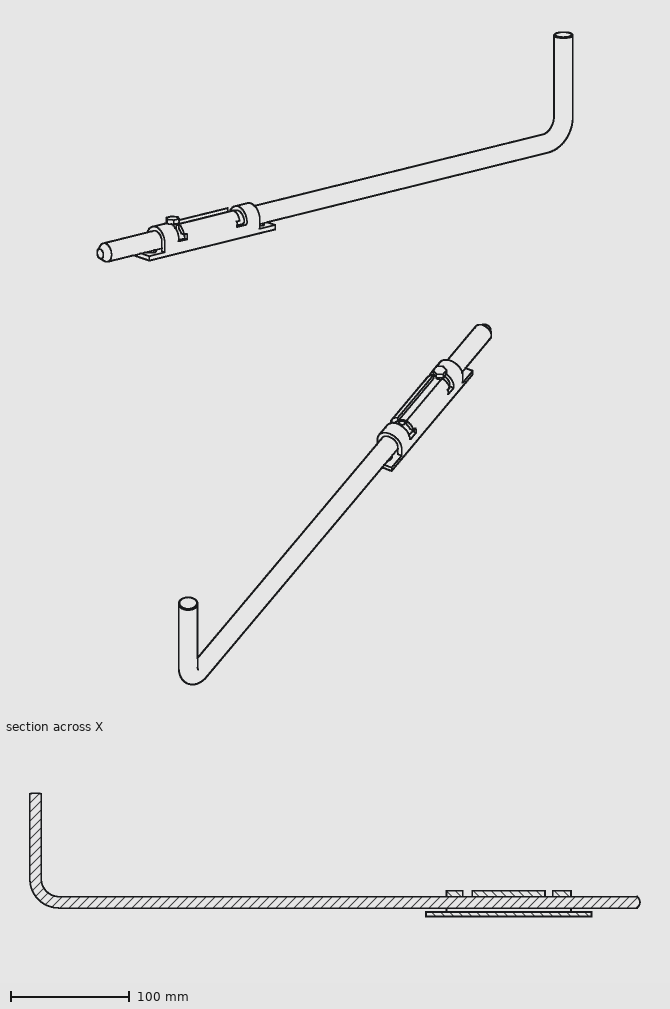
import cadquery as cq
import math


total_length = 520.0
total_height = 104.0

housing_width = 23.5
housing_length = 105.0
plate_length = 139.5
plate_thickness = 4.0
plate_hole_diameter = 5.5
plate_sink_diameter = 12.0
plate_hole_y = 60.0

rod_diameter = 16.0
rod_radius = rod_diameter / 2
bend_radius = 20.0
handle_chamfer = 0.8
nose_tip_y = -114.0
nose_length = 5.5
nose_tip_diameter = 8.5
nose_base_y = nose_tip_y + nose_length
handle_axis_y = nose_tip_y + total_length - rod_radius

plate_top_z = -rod_radius
plate_bottom_z = plate_top_z - plate_thickness
handle_top_z = plate_bottom_z + total_height

track_width = 8.5
slot_inner_y = 30.5
front_slot_width = 6.0
rear_slot_width = 8.0
slot_floor_z = -1.5
hook_height = 4.5
hook_reach = 3.0
rear_slot_fillet = 2.0

knob_y = -slot_inner_y - front_slot_width / 2
knob_neck_diameter = 6.0
knob_across_flats = 10.0
knob_across_corners = knob_across_flats / math.cos(math.pi / 6)
knob_head_bottom_z = housing_width / 2
knob_head_top_z = 15.5
knob_neck_bottom_z = 0.0

spare_hole_y = 31.0
spare_hole_diameter = 5.0
spare_hole_rim_diameter = 6.0
spare_hole_rim_depth = 1.0
spare_hole_bottom_z = 0.0


def upright_cylinder(diameter, y, bottom_z, top_z):
    """A vertical cylinder centred on X = 0."""
    return cq.Workplane("XY", origin=(0, y, bottom_z)).circle(diameter / 2).extrude(top_z - bottom_z)


def upright_cone(bottom_diameter, top_diameter, y, bottom_z, top_z):
    """A vertical cone frustum centred on X = 0."""
    base = cq.Workplane("XY", origin=(0, y, bottom_z)).circle(bottom_diameter / 2)
    return base.workplane(offset=top_z - bottom_z).circle(top_diameter / 2).loft()


def block(width, y_start, y_end, bottom_z, top_z):
    """A box centred on X = 0 that spans the given Y and Z ranges."""
    size_y = abs(y_end - y_start)
    size_z = top_z - bottom_z
    centre = (0, (y_start + y_end) / 2, (bottom_z + top_z) / 2)
    return cq.Workplane("XY").box(width, size_y, size_z).translate(centre)


def arched_block(radius):
    """A bar as long as the housing, with a round top and straight sides down to the plate."""
    return (
        cq.Workplane("XZ", origin=(0, housing_length / 2, 0))
        .moveTo(-radius, plate_top_z)
        .lineTo(-radius, 0)
        .threePointArc((0, radius), (radius, 0))
        .lineTo(radius, plate_top_z)
        .close()
        .extrude(housing_length)
    )


def make_rod():
    path = (
        cq.Workplane("YZ")
        .moveTo(nose_base_y, 0)
        .lineTo(handle_axis_y - bend_radius, 0)
        .radiusArc((handle_axis_y, bend_radius), -bend_radius)
        .lineTo(handle_axis_y, handle_top_z)
    )
    bar = cq.Workplane("XZ", origin=(0, nose_base_y, 0)).circle(rod_radius).sweep(path)
    bar = bar.faces(">Z").chamfer(handle_chamfer)
    nose = (
        cq.Workplane("XZ", origin=(0, nose_base_y, 0))
        .circle(rod_radius)
        .workplane(offset=nose_length)
        .circle(nose_tip_diameter / 2)
        .loft()
    )
    knob_hole = upright_cylinder(knob_neck_diameter, knob_y, knob_neck_bottom_z, rod_diameter)
    spare_hole = upright_cylinder(spare_hole_diameter, spare_hole_y, spare_hole_bottom_z, rod_diameter)
    spare_hole_rim = upright_cone(
        spare_hole_diameter,
        spare_hole_rim_diameter,
        spare_hole_y,
        rod_radius - spare_hole_rim_depth,
        rod_radius,
    )
    return bar.union(nose).cut(knob_hole).cut(spare_hole).cut(spare_hole_rim)


def cross_slot(side, width):
    """A slot across the housing on the given side of Y = 0, with a hook toward the middle."""
    inner_y = side * slot_inner_y
    outer_y = side * (slot_inner_y + width)
    hook_end_y = side * (slot_inner_y - hook_reach)
    slot = block(housing_width, inner_y, outer_y, slot_floor_z, housing_width)
    hook = block(housing_width, hook_end_y, outer_y, slot_floor_z, slot_floor_z + hook_height)
    return slot.union(hook).clean()


def make_housing():
    body = arched_block(housing_width / 2)
    plate = block(housing_width, -plate_length / 2, plate_length / 2, plate_bottom_z, plate_top_z)
    track = block(track_width, -slot_inner_y, slot_inner_y, 0, housing_width)
    front_slot = cross_slot(-1, front_slot_width)
    rear_slot = cross_slot(1, rear_slot_width).edges("|X and >Y and <Z").fillet(rear_slot_fillet)
    housing = body.union(plate).cut(arched_block(rod_radius))
    housing = housing.cut(track).cut(front_slot).cut(rear_slot)
    for y in (-plate_hole_y, plate_hole_y):
        sink = upright_cone(plate_hole_diameter, plate_sink_diameter, y, plate_bottom_z, plate_top_z)
        housing = housing.cut(sink)
    return housing


def make_knob():
    neck = upright_cylinder(knob_neck_diameter, knob_y, knob_neck_bottom_z, knob_head_bottom_z)
    head_plane = cq.Plane(origin=(0, knob_y, knob_head_bottom_z), xDir=(0, 1, 0))
    head = cq.Workplane(head_plane).polygon(6, knob_across_corners)
    return neck.union(head.extrude(knob_head_top_z - knob_head_bottom_z))


rod = make_rod()
housing = make_housing()
knob = make_knob()

result = cq.Compound.makeCompound([rod.val(), housing.val(), knob.val()])